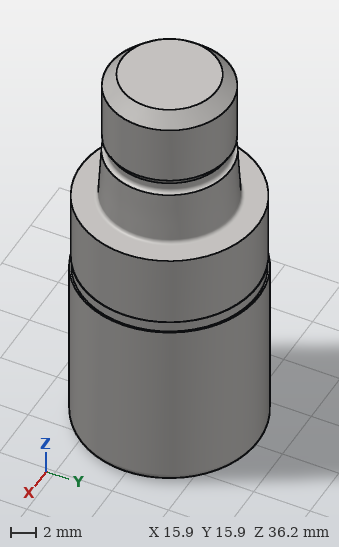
import cadquery as cq
import math

sleeve_radius = 7.945
sleeve_height = 15.9
sleeve_edge_radius = 0.8

band_radius = 7.8
band_top = 16.87
shoulder_radius = 7.82
shoulder_top = 23.4
fillet_radius = 0.345
taper_bottom_radius = 5.65
taper_top_radius = 5.4
taper_top = 28.2
neck_radius = 5.0
neck_top = 29.1
head_radius = 5.35
head_bottom = 29.72
head_chamfer = 1.15
total_height = 36.2


def make_sleeve():
    """Plain round sleeve with a rounded bottom edge."""
    return cq.Workplane("XY").circle(sleeve_radius).extrude(sleeve_height).faces("<Z").edges().fillet(
        sleeve_edge_radius
    )


def fillet_midpoint(radius, height):
    """Middle of a concave quarter arc rising from a ledge at height to a wall at radius."""
    offset = fillet_radius * (1 - math.sqrt(0.5))
    return (radius + offset, height + offset)


def make_stud():
    """Turned stud: band, shoulder, tapered stem, groove and chamfered head."""
    profile = (
        cq.Workplane("XZ")
        .moveTo(0, sleeve_height)
        .lineTo(band_radius, sleeve_height)
        .lineTo(band_radius, band_top)
        .lineTo(shoulder_radius, band_top)
        .lineTo(shoulder_radius, shoulder_top)
        .lineTo(taper_bottom_radius + fillet_radius, shoulder_top)
        .threePointArc(
            fillet_midpoint(taper_bottom_radius, shoulder_top),
            (taper_bottom_radius, shoulder_top + fillet_radius),
        )
        .lineTo(taper_top_radius, taper_top)
        .lineTo(neck_radius + fillet_radius, taper_top)
        .threePointArc(
            fillet_midpoint(neck_radius, taper_top),
            (neck_radius, taper_top + fillet_radius),
        )
        .lineTo(neck_radius, neck_top)
        .lineTo(head_radius, head_bottom)
        .lineTo(head_radius, total_height - head_chamfer)
        .lineTo(head_radius - head_chamfer, total_height)
        .lineTo(0, total_height)
        .close()
    )
    return profile.revolve(360, (0, 0, 0), (0, 1, 0))


sleeve = make_sleeve()
stud = make_stud()

result = cq.Compound.makeCompound([sleeve.val(), stud.val()])